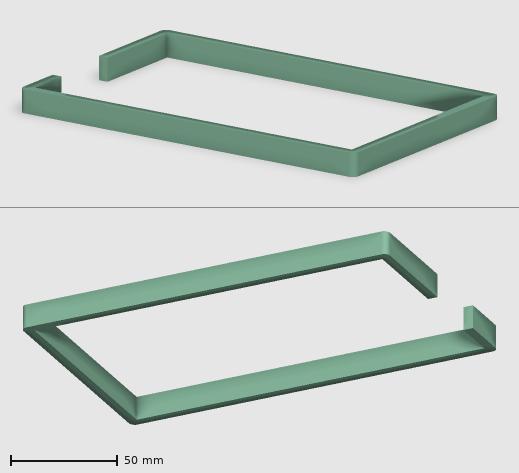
import cadquery as cq

length = 192.1
width = 120.0
height = 12.0

wall = 5.0
corner_radius = 3.0

back_arm = 54.4
front_arm = 27.5
gap = width - back_arm - front_arm

outer_block = cq.Workplane("XY").box(length, width, height).edges("|Z").fillet(corner_radius)
opening = cq.Workplane("XY").box(length - 2 * wall, width - 2 * wall, height)
frame = outer_block.cut(opening)

gap_center_y = -width / 2 + front_arm + gap / 2
wall_center_x = -length / 2 + wall / 2
gap_cutter = (
    cq.Workplane("XY")
    .box(wall, gap, height)
    .translate((wall_center_x, gap_center_y, 0))
)

result = frame.cut(gap_cutter)